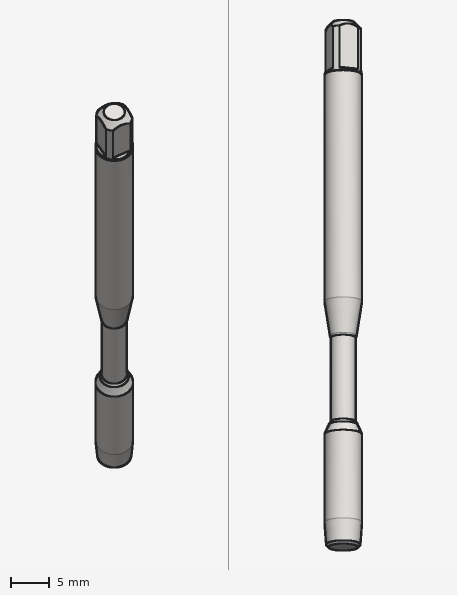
import cadquery as cq

total_length = 70.1
shank_diameter = 4.9
neck_diameter = 3.3

head_diameter = shank_diameter
tip_diameter = 3.8
lead_small_diameter = 4.5
tip_chamfer_top = 0.35
lead_top = 3.3
head_shoulder = 15.1
head_top = 16.3
head_top_diameter = 3.8

neck_bottom = 16.75
neck_top = 28.0
shank_cone_bottom = 28.25
shank_cone_diameter = 3.5
shank_bottom = 32.8

square_across_flats = 3.9
square_corner_diameter = 4.7
shank_top = 63.1
flat_bottom = 63.6
end_chamfer = 1.0


def turned(profile):
    """Revolve (diameter, height) stations, listed from bottom to top, about Z."""
    outline = [(diameter / 2, height) for diameter, height in profile]
    first_height = profile[0][1]
    last_height = profile[-1][1]
    closed_outline = [(0, first_height), *outline, (0, last_height)]
    return cq.Workplane("XZ").polyline(closed_outline).close().revolve(360, (0, 0), (0, 1))


def flat_cutter():
    """Material removed on the +X side: a flat with a 45 degree run-out at its lower end."""
    flat_distance = square_across_flats / 2
    outer_distance = shank_diameter
    run_out_depth = outer_distance - flat_distance
    return (
        cq.Workplane("XZ")
        .moveTo(flat_distance, flat_bottom)
        .lineTo(outer_distance, flat_bottom - run_out_depth)
        .lineTo(outer_distance, total_length)
        .lineTo(flat_distance, total_length)
        .close()
        .extrude(shank_diameter, both=True)
    )


def make_head():
    """Threading head with a tapered lead and a conical upper shoulder."""
    return turned([
        (tip_diameter, 0),
        (lead_small_diameter, tip_chamfer_top),
        (head_diameter, lead_top),
        (head_diameter, head_shoulder),
        (head_top_diameter, head_top),
    ])


def make_shank():
    """Neck and shank, with four flats forming the driving square."""
    corner_step = (shank_diameter - square_corner_diameter) / 2
    end_diameter = square_corner_diameter - 2 * end_chamfer
    shank = turned([
        (head_top_diameter, head_top),
        (neck_diameter, neck_bottom),
        (neck_diameter, neck_top),
        (shank_cone_diameter, shank_cone_bottom),
        (shank_diameter, shank_bottom),
        (shank_diameter, shank_top),
        (square_corner_diameter, shank_top + corner_step),
        (square_corner_diameter, total_length - end_chamfer),
        (end_diameter, total_length),
    ])
    for angle in (0, 90, 180, 270):
        shank = shank.cut(flat_cutter().rotate((0, 0, 0), (0, 0, 1), angle))
    return shank


head = make_head()
shank = make_shank()

result = cq.Compound.makeCompound([head.val(), shank.val()])